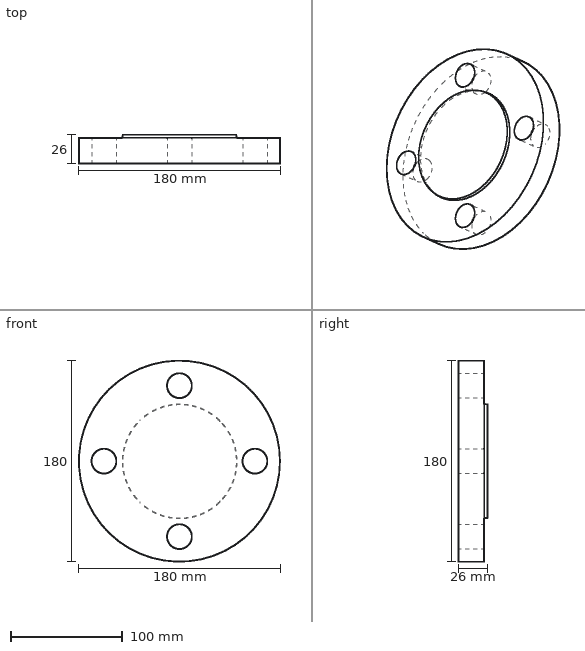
import cadquery as cq

flange_diameter = 180.0
overall_thickness = 26.0
raised_face_height = 3.0
disc_thickness = overall_thickness - raised_face_height
raised_face_base_diameter = 102.6
raised_face_top_diameter = 101.6

bolt_circle_diameter = 135.0
bolt_hole_diameter = 22.0
bolt_hole_count = 4


def flange_body():
    """Revolve the half section of the disc and its tapered raised face."""
    half_section = (
        cq.Workplane("XY")
        .lineTo(flange_diameter / 2, 0)
        .lineTo(flange_diameter / 2, disc_thickness)
        .lineTo(raised_face_base_diameter / 2, disc_thickness)
        .lineTo(raised_face_top_diameter / 2, overall_thickness)
        .lineTo(0, overall_thickness)
        .close()
    )
    return half_section.revolve(360, (0, 0, 0), (0, 1, 0))


def bolt_holes():
    """Through-hole cutters spaced evenly on the bolt circle."""
    return (
        cq.Workplane("XZ")
        .polarArray(bolt_circle_diameter / 2, 0, 360, bolt_hole_count)
        .circle(bolt_hole_diameter / 2)
        .extrude(-overall_thickness)
    )


result = flange_body().cut(bolt_holes())